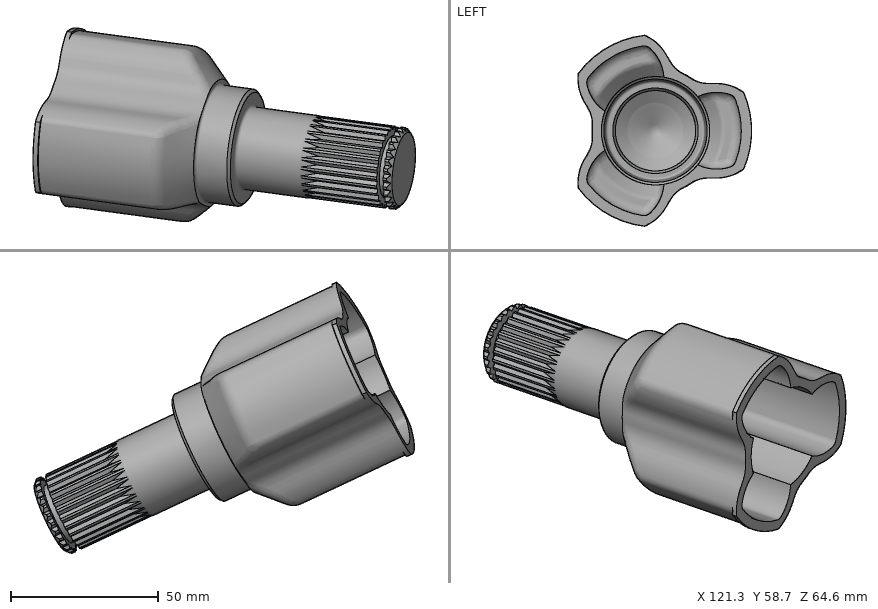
import cadquery as cq
import math

TOTAL_LENGTH = 121.3
LOBES = 3
LOBE_PITCH = 360 / LOBES
FIRST_LOBE_ANGLE = 180.0

RIM_RADIUS = 32.5
BODY_RADIUS = 31.8
RIM_THICKNESS = 1.7
VALLEY_RADIUS = 21.5
LOBE_HALF_WIDTH = 16.0
BLEND_RADIUS = 9.7
CROWN_RADIUS = 15.8
CROWN_START = 20.5
BODY_EDGE_RADIUS = 3.9

BODY_END = 53.7
END_CONE_RADIUS = 22.0
SHOULDER_RADIUS = 5.8
CONE_OVERRUN = 3.6

CAVITY_RADIUS = 18.3
POCKET_RADIUS = 29.0
POCKET_HALF_WIDTH = 13.0
POCKET_WIDEST = 20.6
POCKET_SIDE_RADIUS = 14.5
POCKET_INNER_END = 13.3
POCKET_OUTER_END = 30.3
POCKET_EDGE_RADIUS = 3.0
POCKET_FLOOR = 46.1
POCKET_FLOOR_FILLET = 3.4
POCKET_FLOOR_INNER_RADIUS = 23.6
POCKET_LIP_RADIUS = 2.2
THROAT_END_RADIUS = 15.8
BORE_START = 51.5
BORE_MOUTH_RADIUS = 17.5
BORE_RADIUS = 16.7
BORE_FLOOR = 60.0
BORE_FLOOR_FILLET = 0.8
CUP_RADIUS = 14.4
CUP_STEP_RADIUS = 13.6
CUP_STEP_DEPTH = 1.8
CUP_FLOOR_RADIUS = 9.5
CUP_FLOOR = 64.9
DRILL_RADIUS = 8.1
DRILL_START = 65.6
DRILL_TIP = 70.3

COLLAR_RADIUS = 20.0
COLLAR_END = 65.9
COLLAR_FILLET = 0.7
COLLAR_CHAMFER = 1.0
SHAFT_RADIUS = 14.1
SHAFT_FILLET = 1.0
SHAFT_END = 88.9

TEETH = 27
TOOTH_RADIUS = 14.0
ROOT_RADIUS = 12.9
TOOTH_TIP_WIDTH = 0.8
SPLINE_START = 89.4
RUNOUT_END = 94.6
RING_GROOVE_RADIUS = 10.7
RING_GROOVE_START = 116.2
RING_GROOVE_END = 118.5
END_CHAMFER = 1.6


def polar(radius, degrees):
    angle = math.radians(degrees)
    return radius * math.cos(angle), radius * math.sin(angle)


def tripod_prism(length):
    """Prism of the cup's three-lobed outline."""
    blend_v = LOBE_HALF_WIDTH + BLEND_RADIUS
    blend_u = math.sqrt((VALLEY_RADIUS + BLEND_RADIUS) ** 2 - blend_v ** 2)
    valley_angle = math.degrees(math.atan2(blend_v, blend_u))
    blend_middle = (valley_angle + 180 + 270) / 2

    crown_v = LOBE_HALF_WIDTH - CROWN_RADIUS
    centre_distance = math.hypot(CROWN_START, crown_v)
    spread = math.acos(
        (RIM_RADIUS ** 2 + centre_distance ** 2 - CROWN_RADIUS ** 2) / (2 * RIM_RADIUS * centre_distance)
    )
    corner_angle = math.degrees(math.atan2(crown_v, CROWN_START) + spread)
    corner = polar(RIM_RADIUS, corner_angle)
    crown_end = math.degrees(math.atan2(corner[1] - crown_v, corner[0] - CROWN_START))
    crown_middle = (90 + crown_end) / 2

    blend_du, blend_dv = polar(BLEND_RADIUS, blend_middle)
    crown_du, crown_dv = polar(CROWN_RADIUS, crown_middle)
    half = [
        polar(VALLEY_RADIUS, valley_angle),
        (blend_u + blend_du, blend_v + blend_dv),
        (blend_u, LOBE_HALF_WIDTH),
        (CROWN_START, LOBE_HALF_WIDTH),
        (CROWN_START + crown_du, crown_v + crown_dv),
        corner,
    ]

    def place(point, lobe_angle, side):
        u, v = point
        return polar(math.hypot(u, v), lobe_angle + side * math.degrees(math.atan2(v, u)))

    outline = cq.Workplane("YZ").moveTo(*place(half[0], FIRST_LOBE_ANGLE, -1))
    for index in range(LOBES):
        angle = FIRST_LOBE_ANGLE + index * LOBE_PITCH
        near = [place(point, angle, -1) for point in half]
        far = [place(point, angle, 1) for point in half]
        outline = (
            outline.threePointArc(near[1], near[2])
            .lineTo(*near[3])
            .threePointArc(near[4], near[5])
            .threePointArc(polar(RIM_RADIUS, angle), far[5])
            .threePointArc(far[4], far[3])
            .lineTo(*far[2])
            .threePointArc(far[1], far[0])
            .threePointArc(polar(VALLEY_RADIUS, angle + LOBE_PITCH / 2), place(half[0], angle + LOBE_PITCH, -1))
        )
    return outline.close().extrude(length)


def revolve_about_x(profile):
    return profile.close().revolve(360, (0, 0, 0), (1, 0, 0))


def rounded_lobes(prism, envelope, lobe_radius, edge_radius):
    """Trim a prism to a turned envelope and round the edges around each lobe."""
    trimmed = prism.intersect(envelope)
    lobe_corners = trimmed.edges("|X").filter(lambda edge: abs(distance_from_axis(edge) - lobe_radius) < 0.1)
    return lobe_corners.fillet(edge_radius)


def distance_from_axis(edge):
    centre = edge.Center()
    return math.hypot(centre.y, centre.z)


def outer_body():
    cone_start = BODY_END - (BODY_RADIUS - END_CONE_RADIUS)
    cone_end = BODY_END + CONE_OVERRUN
    tangent = SHOULDER_RADIUS * math.tan(math.radians(22.5))
    tangent_45 = tangent * math.sqrt(0.5)
    envelope = revolve_about_x(
        cq.Workplane("XY")
        .lineTo(0, BODY_RADIUS)
        .lineTo(cone_start - tangent, BODY_RADIUS)
        .tangentArcPoint((cone_start + tangent_45, BODY_RADIUS - tangent_45), relative=False)
        .lineTo(cone_end, END_CONE_RADIUS - CONE_OVERRUN)
        .lineTo(cone_end, 0)
    )
    prism = tripod_prism(cone_end)
    body = rounded_lobes(prism, envelope, BODY_RADIUS, BODY_EDGE_RADIUS)
    back_limit = cq.Workplane("YZ").circle(RIM_RADIUS).extrude(BODY_END)
    return body.intersect(back_limit).union(tripod_prism(RIM_THICKNESS))


def pocket():
    """Lobe pocket towards +Y with a barrel-shaped outline and rounded edges."""

    def half_width_at(distance):
        drop = POCKET_SIDE_RADIUS - math.sqrt(POCKET_SIDE_RADIUS ** 2 - (distance - POCKET_WIDEST) ** 2)
        return POCKET_HALF_WIDTH - drop

    throat_start = POCKET_FLOOR + POCKET_LIP_RADIUS * (1 - math.sqrt(0.5))
    throat_radius = POCKET_FLOOR_INNER_RADIUS - POCKET_LIP_RADIUS * math.sqrt(0.5)
    throat_end = throat_start + throat_radius - THROAT_END_RADIUS
    envelope = revolve_about_x(
        cq.Workplane("XY")
        .lineTo(0, POCKET_RADIUS)
        .lineTo(POCKET_FLOOR - POCKET_FLOOR_FILLET, POCKET_RADIUS)
        .tangentArcPoint((POCKET_FLOOR, POCKET_RADIUS - POCKET_FLOOR_FILLET), relative=False)
        .lineTo(POCKET_FLOOR, POCKET_FLOOR_INNER_RADIUS)
        .tangentArcPoint((throat_start, throat_radius), relative=False)
        .lineTo(throat_end, THROAT_END_RADIUS)
        .lineTo(throat_end, 0)
    )
    inner = half_width_at(POCKET_INNER_END)
    outer = half_width_at(POCKET_OUTER_END)
    prism = (
        cq.Workplane("YZ")
        .moveTo(POCKET_INNER_END, inner)
        .threePointArc((POCKET_WIDEST, POCKET_HALF_WIDTH), (POCKET_OUTER_END, outer))
        .lineTo(POCKET_OUTER_END, -outer)
        .threePointArc((POCKET_WIDEST, -POCKET_HALF_WIDTH), (POCKET_INNER_END, -inner))
        .close()
        .extrude(throat_end)
    )
    return rounded_lobes(prism, envelope, POCKET_RADIUS, POCKET_EDGE_RADIUS)


def cavity():
    bore = revolve_about_x(
        cq.Workplane("XY")
        .lineTo(0, CAVITY_RADIUS)
        .lineTo(BORE_START - (CAVITY_RADIUS - BORE_MOUTH_RADIUS), CAVITY_RADIUS)
        .lineTo(BORE_START, BORE_MOUTH_RADIUS)
        .lineTo(BORE_FLOOR - BORE_FLOOR_FILLET, BORE_RADIUS)
        .threePointArc(
            (
                BORE_FLOOR - BORE_FLOOR_FILLET * (1 - math.sqrt(0.5)),
                BORE_RADIUS - BORE_FLOOR_FILLET * (1 - math.sqrt(0.5)),
            ),
            (BORE_FLOOR, BORE_RADIUS - BORE_FLOOR_FILLET),
        )
        .lineTo(BORE_FLOOR, CUP_RADIUS)
        .lineTo(BORE_FLOOR + CUP_STEP_DEPTH, CUP_STEP_RADIUS)
        .lineTo(CUP_FLOOR, CUP_FLOOR_RADIUS)
        .lineTo(DRILL_START, DRILL_RADIUS)
        .lineTo(DRILL_TIP, 0)
    )
    lobe_pocket = pocket()
    hollow = bore
    for index in range(LOBES):
        angle = FIRST_LOBE_ANGLE + index * LOBE_PITCH
        hollow = hollow.union(lobe_pocket.rotate((0, 0, 0), (1, 0, 0), angle))
    return hollow


def collar_and_shaft():
    fillet_end = BODY_END + COLLAR_FILLET
    return revolve_about_x(
        cq.Workplane("XY")
        .moveTo(BODY_END, 0)
        .lineTo(BODY_END, COLLAR_RADIUS + COLLAR_FILLET)
        .radiusArc((fillet_end, COLLAR_RADIUS), -COLLAR_FILLET)
        .lineTo(COLLAR_END - COLLAR_CHAMFER, COLLAR_RADIUS)
        .lineTo(COLLAR_END, COLLAR_RADIUS - COLLAR_CHAMFER)
        .lineTo(COLLAR_END, SHAFT_RADIUS + SHAFT_FILLET)
        .radiusArc((COLLAR_END + SHAFT_FILLET, SHAFT_RADIUS), -SHAFT_FILLET)
        .lineTo(SHAFT_END, SHAFT_RADIUS)
        .lineTo(SPLINE_START, TOOTH_RADIUS)
        .lineTo(RUNOUT_END, ROOT_RADIUS)
        .lineTo(RUNOUT_END, 0)
    )


def spline():
    pitch = 360 / TEETH
    half_tip = math.degrees(math.asin(TOOTH_TIP_WIDTH / 2 / TOOTH_RADIUS))
    corners = []
    for tooth in range(TEETH):
        angle = tooth * pitch
        corners.append(polar(TOOTH_RADIUS, angle - half_tip))
        corners.append(polar(TOOTH_RADIUS, angle + half_tip))
        corners.append(polar(ROOT_RADIUS, angle + pitch / 2))
    teeth = (
        cq.Workplane("YZ", origin=(SPLINE_START, 0, 0))
        .polyline(corners)
        .close()
        .extrude(TOTAL_LENGTH - SPLINE_START)
    )
    envelope = revolve_about_x(
        cq.Workplane("XY")
        .moveTo(SPLINE_START, 0)
        .lineTo(SPLINE_START, SHAFT_RADIUS)
        .lineTo(RING_GROOVE_START, SHAFT_RADIUS)
        .lineTo(RING_GROOVE_START, RING_GROOVE_RADIUS)
        .lineTo(RING_GROOVE_END, RING_GROOVE_RADIUS)
        .lineTo(RING_GROOVE_END, SHAFT_RADIUS)
        .lineTo(TOTAL_LENGTH - END_CHAMFER, SHAFT_RADIUS)
        .lineTo(TOTAL_LENGTH, SHAFT_RADIUS - END_CHAMFER)
        .lineTo(TOTAL_LENGTH, 0)
    )
    return teeth.intersect(envelope)


result = outer_body().union(collar_and_shaft()).union(spline()).cut(cavity())